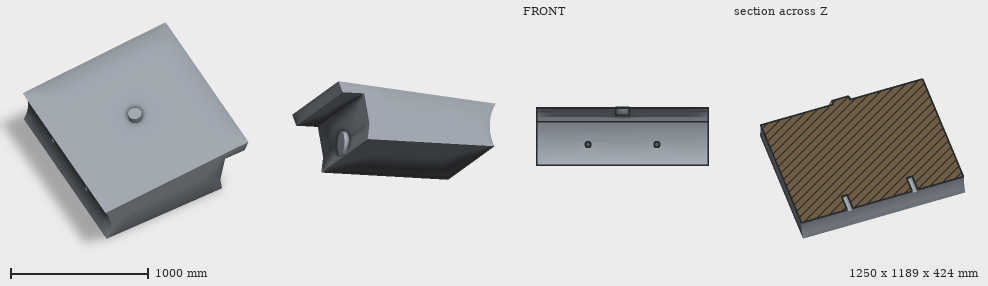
import cadquery as cq
import math

width = 1250.0
depth = 1189.0
front_height = 318.0
rear_height = 418.0
front_foot_y = 10.0
front_hollow_y = 46.0
front_hollow_z = 158.0
lip_underside_z = 338.0
lip_bottom_y = 1158.0
rear_wall_top_y = 995.0
rear_crease_y = 955.0
rear_crease_z = 115.0
rear_foot_y = 969.0

pin_diameter = 100.0
pin_y = 594.0
pin_height = 52.0
pin_embed = 25.0

boss_diameter = 180.0
boss_embed = 25.0

hole_diameter = 40.0
hole_spacing = 500.0
hole_z = 151.0
hole_depth = 125.0

top_slope = (rear_height - front_height) / depth
top_angle = math.atan(top_slope)


def make_body():
    profile = (
        cq.Workplane("YZ")
        .moveTo(front_foot_y, 0)
        .threePointArc((front_hollow_y, front_hollow_z), (0, front_height))
        .lineTo(depth, rear_height)
        .lineTo(lip_bottom_y, lip_underside_z)
        .lineTo(rear_wall_top_y, lip_underside_z)
        .lineTo(rear_crease_y, rear_crease_z)
        .lineTo(rear_foot_y, 0)
        .close()
    )
    return profile.extrude(width / 2, both=True)


def make_cylinder(diameter, length, start, direction):
    solid = cq.Solid.makeCylinder(diameter / 2, length, cq.Vector(*start), cq.Vector(*direction))
    return cq.Workplane(obj=solid)


def make_pin():
    normal_y = -math.sin(top_angle)
    normal_z = math.cos(top_angle)
    surface_z = front_height + top_slope * pin_y
    start = (0, pin_y - pin_embed * normal_y, surface_z - pin_embed * normal_z)
    return make_cylinder(pin_diameter, pin_height + pin_embed, start, (0, normal_y, normal_z))


def make_boss():
    start_y = rear_crease_y - boss_embed
    return make_cylinder(
        boss_diameter, rear_wall_top_y - start_y, (0, start_y, boss_diameter / 2), (0, 1, 0)
    )


def make_front_holes():
    holes = cq.Workplane()
    for side in (-1, 1):
        start = (side * hole_spacing / 2, 0, hole_z)
        holes = holes.add(make_cylinder(hole_diameter, front_hollow_y + hole_depth, start, (0, 1, 0)))
    return holes.combine()


result = make_body().union(make_pin()).union(make_boss()).cut(make_front_holes())